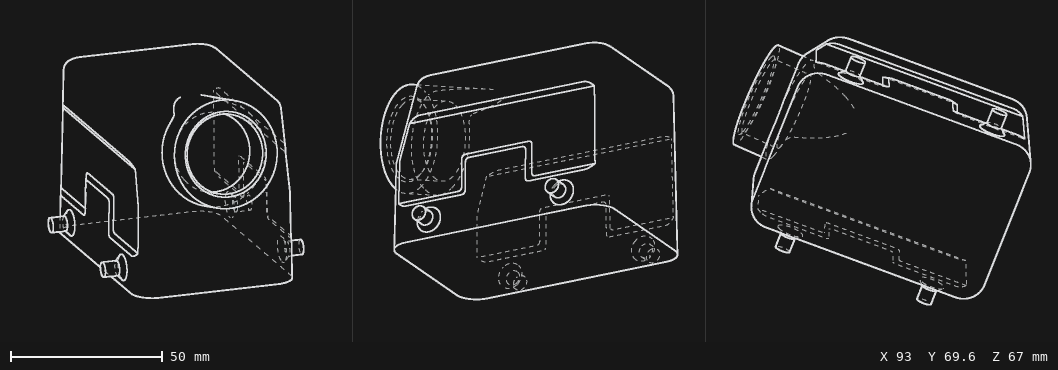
import cadquery as cq
import math

body_length = 81.9
body_width = 56.15
body_height = 59.3
draft_angle = 1.0
corner_radius = 7.4
top_edge_radius = 3.1
draft_slope = math.tan(math.radians(draft_angle))

bend_height = 30.7
slope_angle = 15.9

spout_diameter = 36.0
spout_tilt = 14.0
spout_tip_x = 93.0
spout_top_z = 67.0
spout_length = 46.5
bore_depth = 13.7
bore_diameter = 26.5
bore_chamfer = 0.9
chamfer_angle = 45.0

recess_depth = 0.9
recess_wall_run = 1.9
recess_bottom_z = 14.9
recess_top_z = 42.8
tab_left_x = 27.9
tab_right_x = 54.2
tab_top_z = 27.7
tab_corner_radius = 3.3
recess_overrun = 18.6

pin_diameter = 5.0
pin_height = 6.4
pin_first_x = 16.0
pin_spacing = 49.9
pin_tip_span = 69.6
pin_foot_diameter = 9.1
pin_foot_top_y = 29.8
pin_root_y = 23.2


def make_body():
    block = (
        cq.Workplane("XY")
        .center(body_length / 2, 0)
        .rect(body_length, body_width)
        .extrude(body_height, taper=draft_angle)
    )
    bend_x = body_length - bend_height * draft_slope
    rise = body_height - bend_height
    slope_top_x = bend_x - rise * math.tan(math.radians(slope_angle))
    wedge = (
        cq.Workplane("XZ")
        .polyline([
            (bend_x, bend_height),
            (slope_top_x, body_height),
            (body_length, body_height),
            (body_length, bend_height),
        ])
        .close()
        .extrude(body_width, both=True)
    )
    block = block.cut(wedge)
    block = block.edges("not(#Z or |Y)").fillet(corner_radius)
    return block.faces(">Z").edges().fillet(top_edge_radius)


def make_recess_cutter():
    """Cutter for the -Y side, lying parallel to the drafted wall."""
    wall_taper = math.degrees(math.atan2(recess_wall_run, recess_depth))
    floor = cq.Workplane(
        cq.Plane(
            origin=(0, -body_width / 2, 0),
            xDir=(1, 0, 0),
            normal=(0, -1, draft_slope),
        )
    ).workplane(offset=-recess_depth)
    cut_height = 2 * recess_depth
    wall_lean = cut_height * recess_wall_run / recess_depth

    band_profile = [
        (recess_bottom_z, 0),
        (recess_top_z, 0),
        (recess_top_z + wall_lean, cut_height),
        (recess_bottom_z - wall_lean, cut_height),
    ]
    band = (
        cq.Workplane(
            cq.Plane(
                origin=floor.plane.toWorldCoords((-recess_overrun, 0, 0)),
                xDir=floor.plane.yDir,
                normal=(1, 0, 0),
            )
        )
        .polyline(band_profile)
        .close()
        .extrude(body_length + 2 * recess_overrun)
    )
    tab_width = tab_right_x - tab_left_x
    tab_height = 2 * (tab_top_z - recess_bottom_z)
    tab = (
        floor.center((tab_left_x + tab_right_x) / 2, recess_bottom_z)
        .rect(tab_width, tab_height)
        .extrude(cut_height, taper=wall_taper)
    )
    cutter = band.cut(tab)
    tab_region = cq.selectors.BoxSelector(
        (tab_left_x - wall_lean, -body_width, 0),
        (tab_right_x + wall_lean, 0, body_height),
        boundingbox=True,
    )
    slanted_edges = cutter.edges(tab_region).filter(
        lambda edge: min(abs(edge.tangentAt(0).x), abs(edge.tangentAt(0).y)) > draft_slope
    )
    return slanted_edges.fillet(tab_corner_radius)


def make_pin(x):
    """One pin on the -Y side, with a 45 degree conical foot."""
    pin_radius = pin_diameter / 2
    root_radius = pin_radius + pin_foot_top_y - pin_root_y
    foot_radius = pin_foot_diameter / 2
    foot_y = pin_foot_top_y - (foot_radius - pin_radius)
    return (
        cq.Workplane("XY")
        .polyline([
            (0, -pin_root_y),
            (foot_radius, -pin_root_y),
            (foot_radius, -foot_y),
            (pin_radius, -pin_foot_top_y),
            (pin_radius, -pin_tip_span / 2),
            (0, -pin_tip_span / 2),
        ])
        .close()
        .revolve(360, (0, 0), (0, 1))
        .translate((x, 0, pin_height))
    )


def spout_plane():
    """Plane on the spout mouth, with its normal pointing out of the spout."""
    tilt = math.radians(spout_tilt)
    radius = spout_diameter / 2
    return cq.Plane(
        origin=(spout_tip_x - radius * math.sin(tilt), 0, spout_top_z - radius * math.cos(tilt)),
        xDir=(0, 1, 0),
        normal=(math.cos(tilt), 0, math.sin(tilt)),
    )


def make_bore(mouth):
    """Blind bore of the spout with its chamfered lead-in."""
    bore = cq.Workplane(mouth).circle(bore_diameter / 2).extrude(-bore_depth)
    lead_in = (
        cq.Workplane(mouth)
        .circle(bore_diameter / 2 + bore_chamfer)
        .extrude(-bore_chamfer, taper=chamfer_angle)
    )
    return bore.union(lead_in)


recess = make_recess_cutter()
result = make_body().cut(recess).cut(recess.mirror("XZ"))

for pin_x in (pin_first_x, pin_first_x + pin_spacing):
    pin = make_pin(pin_x)
    result = result.union(pin).union(pin.mirror("XZ"))

mouth = spout_plane()
spout = cq.Workplane(mouth).circle(spout_diameter / 2).extrude(-spout_length)
result = result.union(spout).cut(make_bore(mouth))